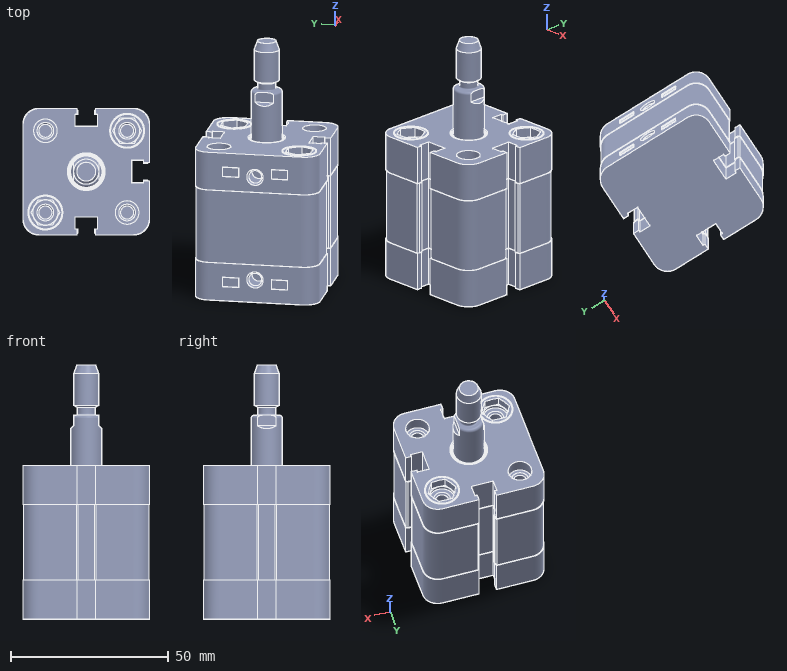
import cadquery as cq
import math


cap_width = 40.3
barrel_width = 40.0
corner_radius = 5.0
housing_length = 49.0
cap_length = 12.5
barrel_length = housing_length - 2 * cap_length
front_cap_base = housing_length - cap_length

slot_floor = 14.5
slot_lip_inner = 18.2
slot_cavity_width = 7.0
cap_slot_mouth = 5.8
barrel_slot_mouth = 5.3
barrel_mouth_chamfer = 0.5
slot_clearance = 0.15

m5_drill = 4.13
m5_chamfer_diameter = 5.3
m5_depth = 6.0
port_from_end = 7.5

label_width = 5.2
label_height = 3.1
label_depth = 0.3
label_offset = 7.9
label_from_end = 6.25

screw_offset = 13.0
plain_hole_diameter = 7.5
plain_hole_depth = 4.4
head_diameter = 10.9
head_bore = 11.1
head_top_diameter = 10.48
head_gap_depth = 4.5
socket_flats = 8.0
socket_relief = 8.2
socket_hex_depth = 3.2
socket_round_diameter = 8.0
socket_depth = 4.5

rod_diameter = 10.0
rod_projection = 32.0
rod_top = housing_length + rod_projection
thread_diameter = 8.0
thread_tip_diameter = 6.0
thread_tip_length = 2.8
thread_length = 12.9
thread_runout_length = 0.65
undercut_diameter = 5.8
undercut_fillet = 0.45
shoulder_from_top = 16.0
shoulder_fillet = 1.0
flat_width = 8.0
flat_end_from_top = 19.3

rod_rim_diameter = 12.0
rod_wiper_recess = 11.4
rod_wiper_lip = 10.9
rod_wiper_seat = 10.48


def slot_cutter(mouth_width, side, clearance, length):
    """T-slot opening toward +X; `side` is the outer face the slot opens through."""
    floor = slot_floor - clearance
    cavity_width = slot_cavity_width + 2 * clearance
    cavity = cq.Workplane("XY").box(
        slot_lip_inner - floor, cavity_width, length, centered=(False, True, False)
    ).translate((floor, 0, 0))
    mouth = cq.Workplane("XY").box(
        side - floor, mouth_width, length, centered=(False, True, False)
    ).translate((floor, 0, 0))
    return cavity.union(mouth)


def mouth_chamfer_cutter(side, length):
    """Wedge that bevels both lips of a slot opening toward +X."""
    half = barrel_slot_mouth / 2
    return (
        cq.Workplane("XY")
        .moveTo(side - barrel_mouth_chamfer, -half)
        .lineTo(side, -half - barrel_mouth_chamfer)
        .lineTo(side, half + barrel_mouth_chamfer)
        .lineTo(side - barrel_mouth_chamfer, half)
        .close()
        .extrude(length)
    )


def slotted_block(width, length, cutter):
    """Rounded square block with the slot on its -Y, +X and +Y sides."""
    block = (
        cq.Workplane("XY")
        .rect(width, width)
        .extrude(length)
        .edges("|Z")
        .fillet(corner_radius)
    )
    for angle in (-90, 0, 90):
        block = block.cut(cutter.rotate((0, 0, 0), (0, 0, 1), angle))
    return block


def m5_hole_cutter():
    """Chamfered blind M5 hole going down from the origin."""
    drill_radius = m5_drill / 2
    rim_radius = m5_chamfer_diameter / 2
    return (
        cq.Workplane("XZ")
        .lineTo(rim_radius, 0)
        .lineTo(drill_radius, drill_radius - rim_radius)
        .lineTo(drill_radius, -m5_depth)
        .lineTo(0, -m5_depth)
        .close()
        .revolve(360, (0, 0, 0), (0, 1, 0))
    )


def cylinder_down(diameter, depth):
    return cq.Workplane("XY").circle(diameter / 2).extrude(-depth)


def plain_corner_cutter():
    """Clear hole with the threaded screw end at its floor."""
    return cylinder_down(plain_hole_diameter, plain_hole_depth).union(
        m5_hole_cutter().translate((0, 0, -plain_hole_depth))
    )


def screw_head_cutter():
    """Gap around a flush screw head with a bevelled rim, its hexagon socket and its M5 thread."""
    head_radius = head_diameter / 2
    bore_radius = head_bore / 2
    top_radius = head_top_diameter / 2
    gap = (
        cq.Workplane("XZ")
        .moveTo(top_radius, 0)
        .lineTo(bore_radius, 0)
        .lineTo(bore_radius, -head_gap_depth)
        .lineTo(head_radius, -head_gap_depth)
        .lineTo(head_radius, top_radius - head_radius)
        .close()
        .revolve(360, (0, 0, 0), (0, 1, 0))
    )
    hexagon_diameter = socket_flats / math.cos(math.pi / 6)
    hexagon = cq.Workplane("XY").polygon(6, hexagon_diameter).extrude(-socket_hex_depth)
    return (
        gap.union(hexagon)
        .union(cylinder_down(socket_relief, socket_hex_depth))
        .union(cylinder_down(socket_round_diameter, socket_depth))
        .union(m5_hole_cutter().translate((0, 0, -socket_depth)))
    )


def rod_opening_cutter():
    """Rod bore with a tapered mouth and a bevelled wiper lip around the rod."""
    rod_radius = rod_diameter / 2
    rim_radius = rod_rim_diameter / 2
    recess_radius = rod_wiper_recess / 2
    lip_radius = rod_wiper_lip / 2
    seat_radius = rod_wiper_seat / 2
    face = housing_length - (rim_radius - recess_radius)
    seat = face - (lip_radius - seat_radius)
    return (
        cq.Workplane("XZ")
        .moveTo(0, housing_length)
        .lineTo(rim_radius, housing_length)
        .lineTo(recess_radius, face)
        .lineTo(lip_radius, face)
        .lineTo(seat_radius, seat)
        .lineTo(rod_radius, seat)
        .lineTo(rod_radius, front_cap_base)
        .lineTo(0, front_cap_base)
        .close()
        .revolve(360, (0, 0, 0), (0, 1, 0))
    )


def make_cap(base, inward):
    """Cap standing on Z = base; `inward` is +1 or -1, the Z direction from end face to barrel."""
    cutter = slot_cutter(cap_slot_mouth, cap_width / 2, slot_clearance, cap_length)
    cap = slotted_block(cap_width, cap_length, cutter).translate((0, 0, base))
    end_face = base if inward > 0 else base + cap_length
    side = -cap_width / 2

    port = m5_hole_cutter().rotate((0, 0, 0), (0, 1, 0), -90)
    cap = cap.cut(port.translate((side, 0, end_face + inward * port_from_end)))

    label_z = end_face + inward * label_from_end
    for label_y in (-label_offset, label_offset):
        label = cq.Workplane("XY").box(2 * label_depth, label_width, label_height)
        cap = cap.cut(label.translate((side, label_y, label_z)))
    return cap


def make_rear_cap():
    return make_cap(0, 1)


def make_barrel():
    side = barrel_width / 2
    cutter = slot_cutter(barrel_slot_mouth, side, 0, barrel_length).union(
        mouth_chamfer_cutter(side, barrel_length)
    )
    return slotted_block(barrel_width, barrel_length, cutter).translate((0, 0, cap_length))


def make_front_cap():
    cap = make_cap(front_cap_base, -1)
    for sign in (-1, 1):
        head_place = (sign * screw_offset, sign * screw_offset, housing_length)
        plain_place = (sign * screw_offset, -sign * screw_offset, housing_length)
        cap = cap.cut(screw_head_cutter().translate(head_place))
        cap = cap.cut(plain_corner_cutter().translate(plain_place))
    return cap.cut(rod_opening_cutter())


def make_piston_rod():
    rod_radius = rod_diameter / 2
    thread_radius = thread_diameter / 2
    undercut_radius = undercut_diameter / 2
    thread_end = rod_top - thread_length
    shoulder = rod_top - shoulder_from_top
    fillet_middle = shoulder_fillet * (1 - math.sqrt(0.5))
    hollow_middle = undercut_fillet * (1 - math.sqrt(0.5))
    rod = (
        cq.Workplane("XZ")
        .moveTo(0, front_cap_base)
        .lineTo(rod_radius, front_cap_base)
        .lineTo(rod_radius, shoulder - shoulder_fillet)
        .threePointArc(
            (rod_radius - fillet_middle, shoulder - fillet_middle),
            (rod_radius - shoulder_fillet, shoulder),
        )
        .lineTo(undercut_radius + undercut_fillet, shoulder)
        .threePointArc(
            (undercut_radius + hollow_middle, shoulder + hollow_middle),
            (undercut_radius, shoulder + undercut_fillet),
        )
        .lineTo(undercut_radius, thread_end - thread_runout_length)
        .lineTo(thread_radius, thread_end)
        .lineTo(thread_radius, rod_top - thread_tip_length)
        .lineTo(thread_tip_diameter / 2, rod_top)
        .lineTo(0, rod_top)
        .close()
        .revolve(360, (0, 0, 0), (0, 1, 0))
    )

    flat_end = rod_top - flat_end_from_top
    ramp = rod_radius - flat_width / 2
    flat = (
        cq.Workplane("XZ")
        .moveTo(flat_width / 2, shoulder)
        .lineTo(flat_width / 2, flat_end)
        .lineTo(flat_width / 2 + 2 * ramp, flat_end - 2 * ramp)
        .lineTo(flat_width / 2 + 2 * ramp, shoulder)
        .close()
        .extrude(rod_radius, both=True)
    )
    return rod.cut(flat).cut(flat.mirror("YZ"))


rear_cap = make_rear_cap()
barrel = make_barrel()
front_cap = make_front_cap()
piston_rod = make_piston_rod()

result = cq.Compound.makeCompound(
    [rear_cap.val(), barrel.val(), front_cap.val(), piston_rod.val()]
)